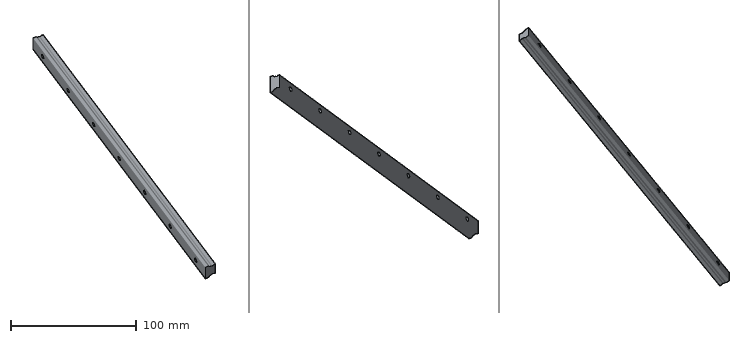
import cadquery as cq

length = 270.0
depth = 9.5
height = 15.0

hole_count = 7
hole_pitch = 40.0
hole_diameter = 3.5

flange_depth = 2.7
shoulder_start = 4.3
back_height = 12.0
groove_front = 5.5
groove_bottom = 6.8
groove_back = 8.0
groove_depth = 0.8
edge_radius = 0.3

half_height = height / 2
back_half_height = back_height / 2
groove_half_height = back_half_height - groove_depth


def rail_body():
    """Extrude the symmetric rail profile along its length, then round its long edges."""
    upper_edge = [
        (0, half_height),
        (flange_depth, half_height),
        (shoulder_start, back_half_height),
        (groove_front, back_half_height),
        (groove_bottom, groove_half_height),
        (groove_back, back_half_height),
        (depth, back_half_height),
    ]
    lower_edge = [(y, -z) for y, z in reversed(upper_edge)]
    profile = cq.Workplane("YZ").polyline(upper_edge + lower_edge).close()
    body = profile.extrude(length / 2, both=True)
    return body.edges("|X").fillet(edge_radius)


def mounting_holes():
    """Row of plain cylinders that pass through the full depth of the rail."""
    row = cq.Workplane("XZ").rarray(hole_pitch, 2.7, hole_count, 1)
    return row.circle(hole_diameter / 2).extrude(-depth)


result = rail_body().cut(mounting_holes())